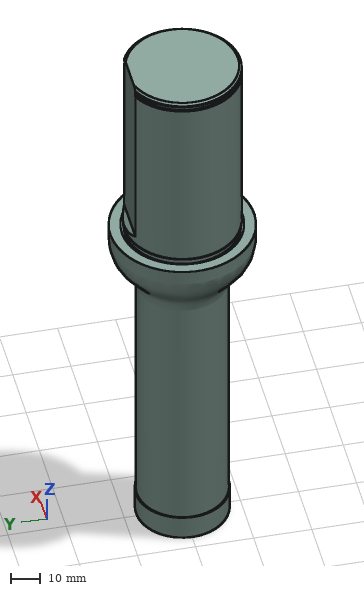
import cadquery as cq

total_length = 196.0
shank_length = 70.0
flange_top = total_length - shank_length

shank_radius = 39.99 / 2
relief_radius = 39.5 / 2
top_chamfer_height = 0.8
top_chamfer_inset = 0.9
top_land_height = 0.4
top_relief_end_depth = 3.1
base_relief_height = 1.2
relief_cone_height = 0.5

undercut_radius = 20.8
undercut_depth = 0.6

flat_distance = 18.1
flat_end_above_flange = 3.2

flange_radius = 49.5 / 2
flange_rim_height = 5.5
transition_end_depth = 25.0
neck_radius = 31.3 / 2
rim_pull = 10.5
neck_pull = 8.5

head_radius = 16.0
head_length = 9.8
head_edge_radius = 1.1
tip_flat_radius = 5.5
tip_cone_height = 0.4

rim_bottom = flange_top - flange_rim_height
neck_top = flange_top - transition_end_depth


def make_body():
    chamfer_bottom = total_length - top_chamfer_height
    land_bottom = chamfer_bottom - top_land_height
    top_relief_end = total_length - top_relief_end_depth
    base_relief_top = flange_top + base_relief_height
    profile = (
        cq.Workplane("XZ")
        .moveTo(0, head_length)
        .lineTo(neck_radius, head_length)
        .lineTo(neck_radius, neck_top)
        .bezier(
            [
                (neck_radius, neck_top + neck_pull),
                (flange_radius, rim_bottom - rim_pull),
                (flange_radius, rim_bottom),
            ],
            includeCurrent=True,
        )
        .lineTo(flange_radius, flange_top)
        .lineTo(undercut_radius, flange_top)
        .lineTo(relief_radius, flange_top - undercut_depth)
        .lineTo(relief_radius, base_relief_top)
        .lineTo(shank_radius, base_relief_top + relief_cone_height)
        .lineTo(shank_radius, top_relief_end)
        .lineTo(relief_radius, top_relief_end + relief_cone_height)
        .lineTo(relief_radius, land_bottom)
        .lineTo(shank_radius, land_bottom)
        .lineTo(shank_radius, chamfer_bottom)
        .lineTo(shank_radius - top_chamfer_inset, total_length)
        .lineTo(0, total_length)
        .close()
    )
    body = profile.revolve(360, (0, 0, 0), (0, 1, 0))
    return body.cut(make_flat_cutter())


def make_flat_cutter():
    flat_end = flange_top + flat_end_above_flange
    ramp = shank_radius - flat_distance
    cutter_side = (
        cq.Workplane("YZ")
        .moveTo(flat_distance, total_length)
        .lineTo(flat_distance, flat_end + ramp)
        .lineTo(shank_radius, flat_end)
        .lineTo(flange_radius, flat_end)
        .lineTo(flange_radius, total_length)
        .close()
    )
    return cutter_side.extrude(flange_radius, both=True)


def make_head():
    return (
        cq.Workplane("XZ")
        .moveTo(0, 0)
        .lineTo(tip_flat_radius, 0)
        .lineTo(head_radius - head_edge_radius, tip_cone_height)
        .radiusArc((head_radius, tip_cone_height + head_edge_radius), -head_edge_radius)
        .lineTo(head_radius, head_length)
        .lineTo(0, head_length)
        .close()
        .revolve(360, (0, 0, 0), (0, 1, 0))
    )


body = make_body()
head = make_head()
result = cq.Compound.makeCompound([body.val(), head.val()])